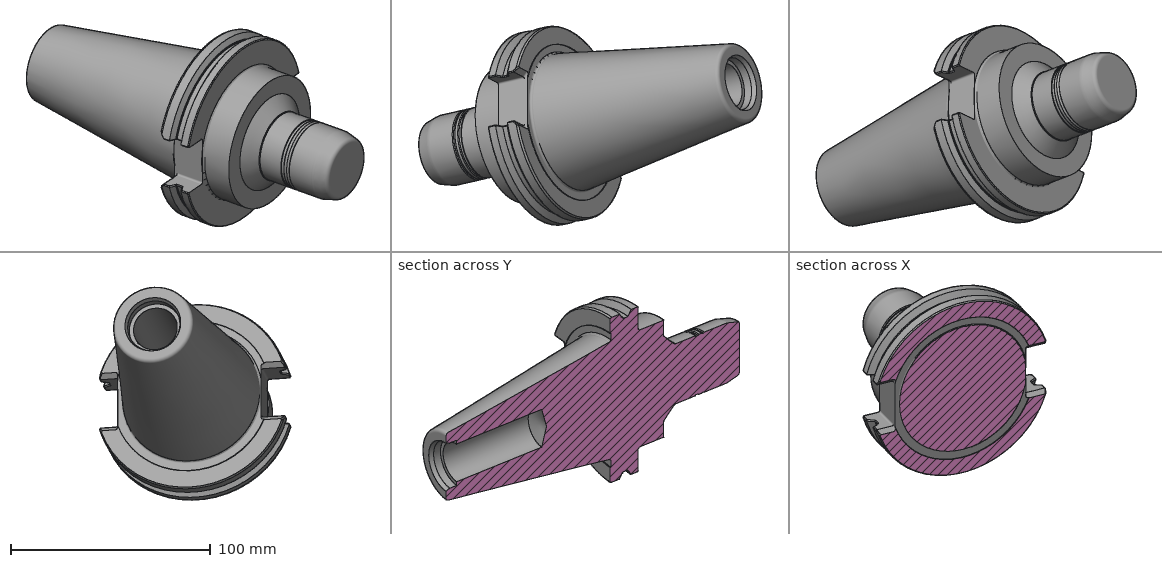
import cadquery as cq
import math


gauge_radius = 34.925
taper_ratio = 7 / 48
shank_length = 101.6
shank_end_fillet = 2.0

neck_end = 0.6
root_fillet = 1.1
recess_radius = 39.8
flange_front = 1.2
flange_back = 19.05
flange_radius = 49.2125
front_chamfer_length = 1.1
front_chamfer_depth = 0.55
back_chamfer = 0.5

groove_front = 7.3
groove_floor_start = 9.5
groove_floor_end = 12.4
groove_back = 14.4
groove_floor_radius = 45.8
groove_step_radius = 46.3

slot_half_width = 12.93
slot_floor_left = 37.7
slot_floor_right = 35.3
slot_floor_fillet = 1.0
slot_flare = 2.4
slot_rim_chamfer = 0.6
edge_margin = 0.05

body_radius = gauge_radius
body_back = 35.0
cone_radius = 25.4
cone_end = 41.6
cone_relief = 0.5

spigot_end = 82.55
spigot_radius = 18.0
spigot_groove_depth = 0.5
square_groove_start = 54.9
square_groove_end = 56.9
ramp_groove_start = 58.5
ramp_groove_end = 60.2
groove_wall_slope = 0.5
nose_start = 73.6
nose_angle = math.radians(15)
nose_blend_radius = 7.0
nose_tip_fillet = 2.2

bore_radius = 11.1
counterbore_radius = 13.3
bore_mouth_radius = 14.2
bore_mouth_depth = 2.4
counterbore_depth = 6.7
bore_depth = 60.0
bore_bottom_half_angle = math.radians(75)


def on_circle(center, radius, angle):
    """Point (x, r) at the given angle on a circle."""
    return (center[0] + radius * math.cos(angle), center[1] + radius * math.sin(angle))


def arc_to(profile, center, radius, start, end):
    """Add an arc of the given circle, from the start angle to the end angle."""
    middle = on_circle(center, radius, (start + end) / 2)
    return profile.threePointArc(middle, on_circle(center, radius, end))


def add_shank(profile):
    """Small end face, rounded corner, taper and neck up to the flange."""
    small_end = -shank_length
    taper_angle = math.atan(taper_ratio)
    center_x = small_end + shank_end_fillet
    taper_radius = gauge_radius + taper_ratio * center_x
    center = (center_x, taper_radius - shank_end_fillet / math.cos(taper_angle))
    profile = profile.lineTo(small_end, center[1])
    profile = arc_to(profile, center, shank_end_fillet, math.pi, math.pi / 2 + taper_angle)
    return profile.lineTo(0, gauge_radius).lineTo(neck_end, gauge_radius)


def add_flange(profile):
    """Flange with recessed front ring, chamfered rims and V-groove."""
    flank_slope = (groove_back - groove_floor_end) / (flange_radius - groove_floor_radius)
    step_start = groove_front + flank_slope * (flange_radius - groove_step_radius)
    fillet_center_radius = gauge_radius + root_fillet
    front_center = (neck_end, fillet_center_radius)
    back_center = (flange_back + root_fillet, body_radius + root_fillet)

    profile = arc_to(profile, front_center, root_fillet, -math.pi / 2, 0)
    profile = (
        profile.lineTo(neck_end + root_fillet, recess_radius)
        .lineTo(flange_front, recess_radius)
        .lineTo(flange_front, flange_radius - front_chamfer_depth)
        .lineTo(flange_front + front_chamfer_length, flange_radius)
        .lineTo(groove_front, flange_radius)
        .lineTo(step_start, groove_step_radius)
        .lineTo(groove_floor_start, groove_step_radius)
        .lineTo(groove_floor_start, groove_floor_radius)
        .lineTo(groove_floor_end, groove_floor_radius)
        .lineTo(groove_back, flange_radius)
        .lineTo(flange_back - back_chamfer, flange_radius)
        .lineTo(flange_back, flange_radius - back_chamfer)
        .lineTo(*on_circle(back_center, root_fillet, math.pi))
    )
    return arc_to(profile, back_center, root_fillet, math.pi, 3 * math.pi / 2)


def add_spigot(profile):
    """Rear body, cone and grooved spigot with its tapered nose."""
    groove_radius = spigot_radius - spigot_groove_depth
    blend_center = (nose_start, spigot_radius - nose_blend_radius)
    blend_end = on_circle(blend_center, nose_blend_radius, math.pi / 2 - nose_angle)
    tip_center_x = spigot_end - nose_tip_fillet
    tip_tangent_x = tip_center_x + nose_tip_fillet * math.sin(nose_angle)
    tip_tangent_radius = blend_end[1] - (tip_tangent_x - blend_end[0]) * math.tan(nose_angle)
    tip_center = (tip_center_x, tip_tangent_radius - nose_tip_fillet * math.cos(nose_angle))

    profile = (
        profile.lineTo(body_back, body_radius)
        .lineTo(body_back, cone_radius)
        .lineTo(cone_end, spigot_radius + cone_relief / 2)
        .lineTo(cone_end + cone_relief, spigot_radius)
        .lineTo(square_groove_start, spigot_radius)
        .lineTo(square_groove_start, groove_radius)
        .lineTo(square_groove_end - groove_wall_slope, groove_radius)
        .lineTo(square_groove_end, spigot_radius)
        .lineTo(ramp_groove_start, spigot_radius)
        .lineTo(ramp_groove_end - groove_wall_slope, groove_radius)
        .lineTo(ramp_groove_end, spigot_radius)
        .lineTo(nose_start, spigot_radius)
    )
    profile = arc_to(profile, blend_center, nose_blend_radius, math.pi / 2, math.pi / 2 - nose_angle)
    profile = profile.lineTo(tip_tangent_x, tip_tangent_radius)
    return arc_to(profile, tip_center, nose_tip_fillet, math.pi / 2 - nose_angle, 0)


def turn(profile):
    """Revolve a closed (x, r) profile about the X axis."""
    return profile.close().revolve(360, (0, 0, 0), (1, 0, 0))


def make_body():
    """Solid holder, before the bore and the drive slots are cut."""
    profile = cq.Workplane("XY").moveTo(-shank_length, 0)
    profile = add_spigot(add_flange(add_shank(profile)))
    return turn(profile.lineTo(spigot_end, 0))


def make_bore():
    """Stepped blind bore with a conical mouth and a shallow conical bottom."""
    mouth = -shank_length
    tip_length = bore_radius / math.tan(bore_bottom_half_angle)
    profile = (
        cq.Workplane("XY")
        .moveTo(mouth, 0)
        .lineTo(mouth, bore_mouth_radius)
        .lineTo(mouth + bore_mouth_depth, counterbore_radius)
        .lineTo(mouth + counterbore_depth, counterbore_radius)
        .lineTo(mouth + counterbore_depth, bore_radius)
        .lineTo(mouth + bore_depth, bore_radius)
        .lineTo(mouth + bore_depth + tip_length, 0)
    )
    return turn(profile)


def make_slot(slot_floor):
    """Cutter for a drive slot opening toward +Y, with rounded floor corners and a flared entry."""
    flare_half_width = slot_half_width + slot_flare
    flare_end = flange_front + slot_flare
    outline = [
        (flange_front, -flare_half_width),
        (flare_end, -slot_half_width),
        (flange_back, -slot_half_width),
        (flange_back, slot_half_width),
        (flare_end, slot_half_width),
        (flange_front, flare_half_width),
    ]
    return (
        cq.Workplane("XZ", origin=(0, slot_floor, 0))
        .polyline(outline)
        .close()
        .extrude(slot_floor - flange_radius)
        .faces("<Y")
        .edges("not |Z")
        .fillet(slot_floor_fillet)
    )


def chamfer_slot_rims(body):
    """Break the slot wall edges along the flange rim and the V-groove."""
    groove_chord = math.sqrt(groove_floor_radius**2 - slot_half_width**2)
    for side in (1, -1):
        rim_zone = cq.selectors.BoxSelector(
            (flange_front + edge_margin, side * (groove_chord - edge_margin), -flange_radius),
            (flange_back - edge_margin, side * flange_radius, flange_radius),
        )
        body = body.edges(rim_zone).chamfer(slot_rim_chamfer)
    return body


left_slot = make_slot(slot_floor_left)
right_slot = make_slot(slot_floor_right).mirror("XZ")
result = chamfer_slot_rims(make_body().cut(make_bore()).cut(left_slot).cut(right_slot))